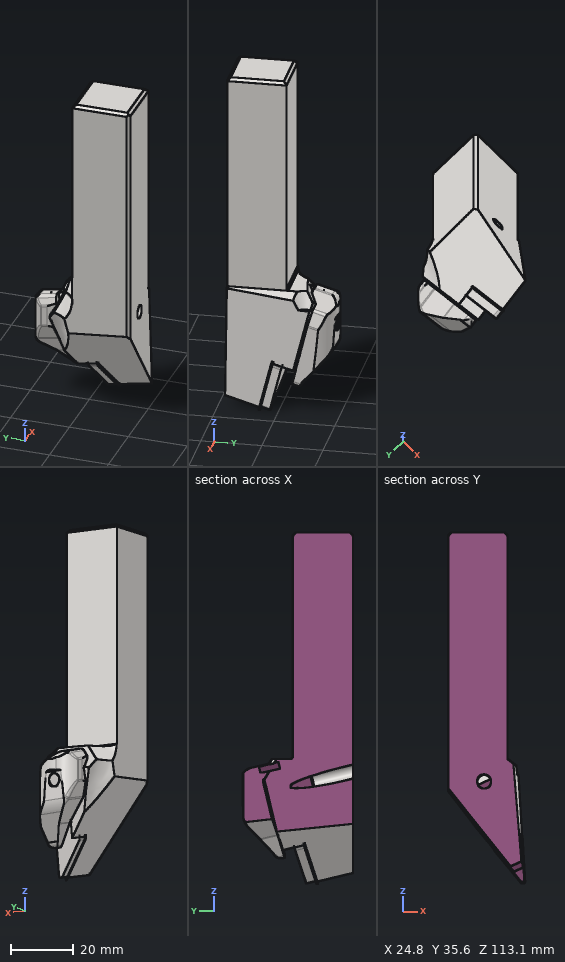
import cadquery as cq
import math

SHANK_WIDTH = 19.1
SHANK_DEPTH = 19.5
SHANK_ROOT_CHAMFER = 0.6
TOTAL_LENGTH = 113.1
TOP_CHAMFER = 1.0
CORNER_CHAMFER = 1.0

HEAD_TOP = 40.3
HEAD_SHOULDER_ANGLE = 38.0
HEAD_DEPTH_BELOW_ORIGIN = 17.0
HEAD_ROOM = 67.9
SEAT_HEIGHT = 28.3
FACET_POINT = (8.5, 24.4, HEAD_TOP)
FACET_NORMAL = (-0.17, 1.0, 0.6)

SCREW_X = 10.1
SCREW_Z = 36.2
SCREW_TILT_X = 0.11
SCREW_TILT_Z = -0.24
TILTED = cq.Plane(
    origin=(SCREW_X, 0, SCREW_Z),
    xDir=(1, -SCREW_TILT_X, 0),
    normal=(-SCREW_TILT_X, -1, -SCREW_TILT_Z),
)

TIP_U = 12.5
TIP_V = -31.1
INSERT_ANGLE = 35.0
INSERT_LEAN = 22.3
INSERT_EDGE = 16.6
INSERT_NOSE_RADIUS = 0.8
INSERT_THICKNESS = 3.2
INSERT_TOP = 24.4
INSERT_OVERHANG = 0.5
SHIM_THICKNESS = 0.5
SHIM_INSET = 0.2

HOLLOW_RISE = 0.6
LEFT_HOLLOW_RADIUS = 10.3
LEFT_HOLLOW_Y = 30.0
LEFT_HOLLOW_AXIS = [(0.3, 17.0), (-6.7, 34.8), (-0.1, HEAD_TOP + HOLLOW_RISE)]
RIGHT_HOLLOW_CENTER = (24.0, 26.2)
RIGHT_HOLLOW_PROFILE = [(2.8, 35.1), (6.1, HEAD_TOP + HOLLOW_RISE)]

CLAMP_OUTLINE = [
    (-5.2, 8.8), (-0.9, 8.8), (6.8, 5.1), (8.8, 0.0), (10.0, -21.6),
    (7.0, -21.6), (2.0, -14.1), (-4.8, -6.8), (-6.9, -1.4), (-6.9, 5.7),
]
CLAMP_CORNER_RADIUS = 1.6
CLAMP_HEEL = 25.8
CLAMP_GAP = 0.5
CLAMP_BACK = (8.8, 32.0)
CLAMP_BACK_ROUND = (7.2, 34.8)
CLAMP_SCREW_FLAT = (2.8, 35.9)
CLAMP_CREST = (-6.2, 37.7)
CLAMP_CREST_ROUND = (-8.7, 37.3)
CLAMP_NOSE_SLOPE = (-10.4, 36.5)
CLAMP_NOSE = (-19.6, 31.8)
CLAMP_NOSE_ROUND = (-21.2, 30.9)
CLAMP_NOSE_END = (-21.6, 29.6)
CLAMP_RIM_POINT = (8.0, 34.5, 23.5)
CLAMP_RIM_FILLET = 1.4

CLAMP_ARCH_LEFT = (6.5, 31.7)
CLAMP_ARCH_LEFT_ROUND = (8.3, 34.4)
CLAMP_ARCH_CROWN = (13.0, 35.5)
CLAMP_ARCH_RIGHT_ROUND = (19.9, 33.4)
CLAMP_ARCH_RIGHT = (23.3, 25.3)

SCREW_DIAMETER = 4.3
SCREW_RADIUS = SCREW_DIAMETER / 2
SCREW_START = 13.6
SCREW_END = 36.2
PIN_RADIUS = 1.0
PIN_U = -2.7
PIN_V = 7.5
PIN_START = 22.6
PIN_END = 28.8


def tilted_at(height):
    """Workplane of the tilted frame at a height along the screw axis."""
    return cq.Workplane(TILTED).workplane(offset=-height)


def tilted_prism(outline, bottom, top):
    return tilted_at(bottom).polyline(outline).close().extrude(bottom - top)


def tilted_cylinder(u, v, radius, bottom, top):
    return tilted_at(bottom).center(u, v).circle(radius).extrude(bottom - top)


def insert_corners():
    """Sharp corners of the rhombus: tip, right, back, left."""
    half = math.radians(INSERT_ANGLE / 2)
    lean = math.radians(INSERT_LEAN)
    nose_gap = INSERT_NOSE_RADIUS * (1 / math.sin(half) - 1)
    tip = (TIP_U + nose_gap * math.sin(lean), TIP_V - nose_gap * math.cos(lean))

    def along(start, angle, length):
        return (start[0] - length * math.sin(angle), start[1] + length * math.cos(angle))

    right = along(tip, lean - half, INSERT_EDGE)
    left = along(tip, lean + half, INSERT_EDGE)
    back = along(right, lean + half, INSERT_EDGE)
    return tip, right, back, left


def make_insert():
    plate = tilted_prism(insert_corners(), INSERT_TOP - INSERT_THICKNESS, INSERT_TOP)
    return plate.edges(cq.selectors.ParallelDirSelector(TILTED.zDir)).fillet(INSERT_NOSE_RADIUS)


def make_shim():
    top = INSERT_TOP - INSERT_THICKNESS
    outline = tilted_at(top - SHIM_THICKNESS).polyline(insert_corners()).close()
    return outline.offset2D(-SHIM_INSET).extrude(-SHIM_THICKNESS)


def left_hollow():
    """Round tool whose axis bends at the waist."""
    tool = cq.Workplane("XY")
    level = 0.0
    for x, z in LEFT_HOLLOW_AXIS:
        tool = tool.workplane(offset=z - level).moveTo(x, LEFT_HOLLOW_Y).circle(LEFT_HOLLOW_RADIUS)
        level = z
    return tool.loft(ruled=True)


def right_hollow():
    """Cone turned about a vertical axis."""
    (low_radius, low), (high_radius, high) = RIGHT_HOLLOW_PROFILE
    return (
        cq.Workplane("XY", origin=(*RIGHT_HOLLOW_CENTER, low))
        .circle(low_radius)
        .workplane(offset=high - low)
        .circle(high_radius)
        .loft()
    )


def above_facet():
    """Space behind the sloping facet at the back of the head."""
    plane = cq.Plane(origin=FACET_POINT, xDir=(1, -FACET_NORMAL[0], 0), normal=FACET_NORMAL)
    return cq.Workplane(plane).rect(HEAD_ROOM, HEAD_ROOM).extrude(HEAD_ROOM)


def make_head():
    """Block with flanks set back from the insert edges, shaped around the clamp."""
    half = math.radians(INSERT_ANGLE / 2)
    lean = math.radians(INSERT_LEAN)
    tip = insert_corners()[0]
    setback = INSERT_OVERHANG / math.sin(half)
    apex = (tip[0] - setback * math.sin(lean), tip[1] + setback * math.cos(lean))
    flanks = [apex]
    for angle in (lean - half, lean + half):
        flanks.append((apex[0] - HEAD_ROOM * math.sin(angle), apex[1] + HEAD_ROOM * math.cos(angle)))
    head = tilted_prism(flanks, -HEAD_DEPTH_BELOW_ORIGIN, SEAT_HEIGHT)
    room = cq.Workplane("XY").box(HEAD_ROOM, HEAD_ROOM, HEAD_TOP, centered=False)
    drop = HEAD_ROOM * math.tan(math.radians(HEAD_SHOULDER_ANGLE))
    shoulder = (
        cq.Workplane("XZ")
        .polyline([(SHANK_WIDTH, HEAD_TOP), (SHANK_WIDTH + HEAD_ROOM, HEAD_TOP),
                   (SHANK_WIDTH + HEAD_ROOM, HEAD_TOP - drop)])
        .close()
        .extrude(-HEAD_ROOM)
    )
    head = head.intersect(room).cut(shoulder).cut(above_facet())
    root = (
        cq.Workplane("YZ")
        .polyline([(SHANK_DEPTH, HEAD_TOP), (SHANK_DEPTH + SHANK_ROOT_CHAMFER, HEAD_TOP),
                   (SHANK_DEPTH, HEAD_TOP + SHANK_ROOT_CHAMFER)])
        .close()
        .extrude(SHANK_WIDTH)
    )
    head = head.union(root)
    head = head.cut(left_hollow())
    return head.cut(right_hollow())


def make_holder():
    shank = (
        cq.Workplane("XY")
        .workplane(offset=HEAD_TOP)
        .rect(SHANK_WIDTH, SHANK_DEPTH, centered=False)
        .extrude(TOTAL_LENGTH - HEAD_TOP)
        .faces(">Z").chamfer(TOP_CHAMFER)
    )
    corner = (
        cq.Workplane("XY")
        .polyline([(0, 0), (CORNER_CHAMFER, 0), (0, CORNER_CHAMFER)])
        .close()
        .extrude(TOTAL_LENGTH)
    )
    pocket_floor = INSERT_TOP - INSERT_THICKNESS - SHIM_THICKNESS
    pocket = tilted_prism(insert_corners(), pocket_floor, HEAD_ROOM)
    screw_hole = tilted_cylinder(0, 0, SCREW_RADIUS, -HEAD_DEPTH_BELOW_ORIGIN, HEAD_ROOM)
    pin_hole = tilted_cylinder(PIN_U, PIN_V, PIN_RADIUS, PIN_START, HEAD_ROOM)
    return make_head().union(shank).cut(corner).cut(pocket).cut(screw_hole).cut(pin_hole)


def make_clamp():
    upright = cq.selectors.ParallelDirSelector(TILTED.zDir)
    full = tilted_prism(CLAMP_OUTLINE, CLAMP_HEEL, SEAT_HEIGHT + HEAD_ROOM)
    full = full.edges(upright).fillet(CLAMP_CORNER_RADIUS)
    side_plane = cq.Plane(origin=TILTED.origin, xDir=TILTED.yDir, normal=-TILTED.xDir)
    side = (
        cq.Workplane(side_plane)
        .moveTo(CLAMP_BACK[0], CLAMP_HEEL)
        .lineTo(*CLAMP_BACK)
        .threePointArc(CLAMP_BACK_ROUND, CLAMP_SCREW_FLAT)
        .lineTo(*CLAMP_CREST)
        .threePointArc(CLAMP_CREST_ROUND, CLAMP_NOSE_SLOPE)
        .lineTo(*CLAMP_NOSE)
        .threePointArc(CLAMP_NOSE_ROUND, CLAMP_NOSE_END)
        .lineTo(CLAMP_NOSE_END[0], CLAMP_HEEL)
        .close()
        .extrude(HEAD_ROOM, both=True)
    )
    arch = (
        cq.Workplane("XY")
        .moveTo(CLAMP_ARCH_LEFT[0], 0)
        .lineTo(*CLAMP_ARCH_LEFT)
        .threePointArc(CLAMP_ARCH_LEFT_ROUND, CLAMP_ARCH_CROWN)
        .threePointArc(CLAMP_ARCH_RIGHT_ROUND, CLAMP_ARCH_RIGHT)
        .lineTo(CLAMP_ARCH_RIGHT[0], 0)
        .close()
        .extrude(HEAD_ROOM)
    )
    body = full.intersect(side).intersect(arch)
    body = body.edges(cq.selectors.NearestToPointSelector(CLAMP_RIM_POINT)).fillet(CLAMP_RIM_FILLET)
    below_seat = tilted_prism(CLAMP_OUTLINE, 0, SEAT_HEIGHT + CLAMP_GAP)
    body = body.cut(below_seat.cut(above_facet()))
    body = body.cut(tilted_cylinder(0, 0, SCREW_RADIUS, SCREW_START, HEAD_ROOM))
    return body.cut(tilted_cylinder(PIN_U, PIN_V, PIN_RADIUS, PIN_START, PIN_END))


holder = make_holder()
insert = make_insert()
shim = make_shim()
clamp = make_clamp()
clamp_screw = tilted_cylinder(0, 0, SCREW_RADIUS, SCREW_START, SCREW_END)
locating_pin = tilted_cylinder(PIN_U, PIN_V, PIN_RADIUS, PIN_START, PIN_END)
bodies = [holder, insert, shim, clamp, clamp_screw, locating_pin]
result = cq.Compound.makeCompound([body.solids().val() for body in bodies])